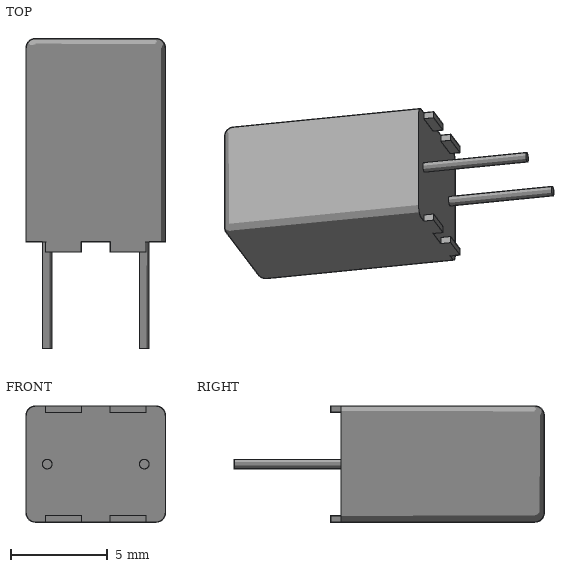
import cadquery as cq

overall_length = 16.0
housing_width = 7.2
housing_height = 6.0
edge_radius = 0.5

foot_width = 1.84
foot_thickness = 0.34
foot_length = 0.53
foot_gap = 1.49

pin_diameter = 0.5
pin_length = 5.5
pin_pitch = 5.0

housing_length = overall_length - pin_length


def make_foot(side_x, side_z):
    """Standoff foot, flush with the top (side_z = 1) or bottom (side_z = -1) of the housing."""
    center_x = side_x * (foot_gap + foot_width) / 2
    center_z = side_z * (housing_height - foot_thickness) / 2
    return (
        cq.Workplane("XY")
        .box(foot_width, foot_length, foot_thickness)
        .translate((center_x, -foot_length / 2, center_z))
    )


def make_housing():
    """Box with rounded long edges and rounded closed end, carrying four feet."""
    body = (
        cq.Workplane("XY")
        .box(housing_width, housing_length, housing_height)
        .translate((0, housing_length / 2, 0))
        .edges("|Y or >Y")
        .fillet(edge_radius)
    )
    for side_x in (-1, 1):
        for side_z in (-1, 1):
            body = body.union(make_foot(side_x, side_z))
    return body


def make_pin(center_x):
    """Straight pin standing on the terminal face and pointing toward -Y."""
    return (
        cq.Workplane("XZ")
        .center(center_x, 0)
        .circle(pin_diameter / 2)
        .extrude(pin_length)
    )


housing = make_housing()
pins = [make_pin(side_x * pin_pitch / 2) for side_x in (-1, 1)]

result = cq.Compound.makeCompound([housing.val(), *[pin.val() for pin in pins]])